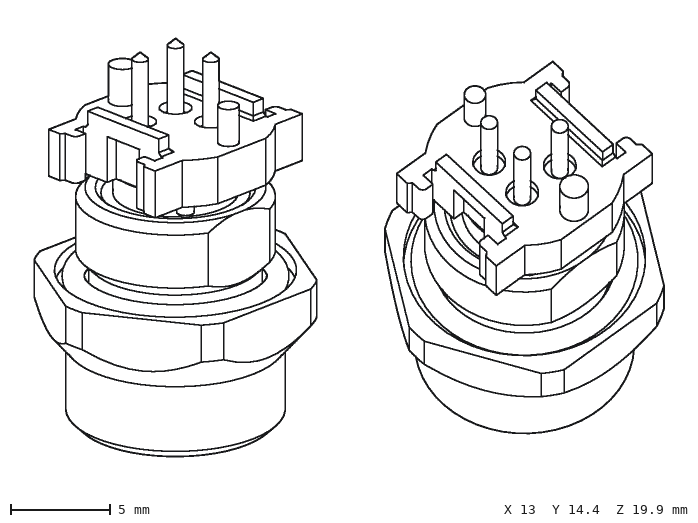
import cadquery as cq
import math

CONE_BOTTOM_Z = 4.0
HEX_CORNER_Z = 6.01
HEX_TOP_Z = 8.02
RING_TOP_Z = 8.25
NUT_BOTTOM_Z = 8.5
NUT_TOP_Z = 12.5
CARRIER_BOTTOM_Z = 13.54
CARRIER_TOP_Z = 16.08
TAB_TOP_Z = 17.0
POST_TOP_Z = 18.08
PIN_TOP_Z = 19.85

BARREL_RADIUS = 5.5
BARREL_CHAMFER = 0.5
HEX_ACROSS_FLATS = 13.0
HEX_CORNER_DIAMETER = 14.4
GROOVE_RADIUS = 6.05
RING_OUTER_RADIUS = 5.68
RING_WIRE_RADIUS = 0.55
RING_SEAT = 0.04

NECK_RADIUS = 4.35
NUT_RADIUS = 5.0
NUT_ACROSS_FLATS = 9.01
NUT_TOP_CHAMFER = 0.48
NUT_BOTTOM_CHAMFER = NUT_RADIUS - NECK_RADIUS
COUNTERSINK_RADIUS = 4.0
COUNTERSINK_DEPTH = 0.28
CORE_RADIUS = 3.14

CARRIER_RADIUS = 5.0
CARRIER_HALF_X = 4.7
EAR_X = 3.77
EAR_Y = 5.2
SLOT_FACE_Y = 3.7
SLOT_X = 2.82
LIP_X = 2.08
LIP_INNER_Y = 4.27
LIP_OUTER_Y = 4.98
LIP_ROUND = 0.28
EAR_BEVEL = 0.15

TAB_WIDTH = 5.05
TAB_INNER_Y = 2.98
TAB_FOOT = 0.18
WINDOW_WIDTH = 2.28
WINDOW_BACK_Y = 3.05
WINDOW_BACK_Z = 15.75
WINDOW_FRONT_Z = 16.02

PIN_PITCH = 2.5
PIN_RADIUS = 0.42
PIN_TIP = 0.38
SOCKET_RADIUS = 0.81
SOCKET_DEPTH = 0.52
POST_X = 3.75
LARGE_POST_RADIUS = 0.71
SMALL_POST_RADIUS = 0.54
PEG_X = 3.3
PEG_Y = 2.58
PEG_RADIUS = 0.44
PEG_LENGTH = 0.81
PEG_CHAMFER = 0.2


def cylinder(radius, bottom, top, x=0, y=0):
    return cq.Workplane("XY", origin=(x, y, bottom)).circle(radius).extrude(top - bottom)


def box(x_range, y_range, z_range):
    """Box spanning the given (low, high) ranges."""
    spans = [high - low for low, high in (x_range, y_range, z_range)]
    corner = (x_range[0], y_range[0], z_range[0])
    return cq.Workplane("XY").box(*spans, centered=False).translate(corner)


def revolve_about_z(profile):
    """Turn a closed (radius, z) profile about the Z axis."""
    return cq.Workplane("XZ").polyline(profile).close().revolve(360, (0, 0), (0, 1))


def make_body():
    """Barrel, coned hexagon with its seal ring groove, and the neck above."""
    corner_radius = HEX_CORNER_DIAMETER / 2
    turned = revolve_about_z([
        (0, 0),
        (BARREL_RADIUS - BARREL_CHAMFER, 0),
        (BARREL_RADIUS, BARREL_CHAMFER),
        (BARREL_RADIUS, CONE_BOTTOM_Z),
        (corner_radius, HEX_CORNER_Z),
        (corner_radius, HEX_TOP_Z),
        (0, HEX_TOP_Z),
    ])
    point_diameter = HEX_ACROSS_FLATS / math.cos(math.radians(30))
    hexagon = (
        cq.Workplane("XY").polygon(6, point_diameter).extrude(HEX_TOP_Z)
        .rotate((0, 0, 0), (0, 0, 1), 30)
    )
    ring_z = RING_TOP_Z - RING_WIRE_RADIUS
    groove_z = ring_z - RING_WIRE_RADIUS + RING_SEAT
    groove = cylinder(GROOVE_RADIUS, groove_z, HEX_TOP_Z)
    neck = cylinder(NECK_RADIUS, groove_z, NUT_BOTTOM_Z)
    ring = (
        cq.Workplane("XZ")
        .moveTo(RING_OUTER_RADIUS - RING_WIRE_RADIUS, ring_z)
        .circle(RING_WIRE_RADIUS)
        .revolve(360, (0, 0), (0, 1))
    )
    return turned.intersect(hexagon).cut(groove).union(neck).union(ring)


def make_nut():
    """Round nut with two flats facing +X and -X and a countersunk top."""
    floor_z = NUT_TOP_Z - COUNTERSINK_DEPTH
    turned = revolve_about_z([
        (0, NUT_BOTTOM_Z),
        (NUT_RADIUS - NUT_BOTTOM_CHAMFER, NUT_BOTTOM_Z),
        (NUT_RADIUS, NUT_BOTTOM_Z + NUT_BOTTOM_CHAMFER),
        (NUT_RADIUS, NUT_TOP_Z - NUT_TOP_CHAMFER),
        (NUT_RADIUS - NUT_TOP_CHAMFER, NUT_TOP_Z),
        (COUNTERSINK_RADIUS, NUT_TOP_Z),
        (COUNTERSINK_RADIUS - COUNTERSINK_DEPTH, floor_z),
        (0, floor_z),
    ])
    half_flats = NUT_ACROSS_FLATS / 2
    between_flats = box((-half_flats, half_flats), (-NUT_RADIUS, NUT_RADIUS), (NUT_BOTTOM_Z, NUT_TOP_Z))
    core = cylinder(CORE_RADIUS, floor_z, CARRIER_BOTTOM_Z)
    return turned.intersect(between_flats).union(core)


def make_slot():
    """Cutter for the undercut slot between the two ears on the -Y side."""
    round_y = LIP_OUTER_Y - LIP_ROUND
    mid_offset = LIP_ROUND * (1 - math.cos(math.radians(45)))
    return (
        cq.Workplane("XY", origin=(0, 0, CARRIER_BOTTOM_Z))
        .moveTo(0, -SLOT_FACE_Y)
        .lineTo(SLOT_X, -SLOT_FACE_Y)
        .lineTo(SLOT_X, -LIP_INNER_Y)
        .lineTo(LIP_X, -LIP_INNER_Y)
        .lineTo(LIP_X, -round_y)
        .threePointArc((LIP_X + mid_offset, -LIP_OUTER_Y + mid_offset), (LIP_X + LIP_ROUND, -LIP_OUTER_Y))
        .lineTo(SLOT_X, -LIP_OUTER_Y)
        .lineTo(SLOT_X + EAR_BEVEL, -EAR_Y)
        .lineTo(0, -EAR_Y)
        .mirrorY()
        .extrude(CARRIER_TOP_Z - CARRIER_BOTTOM_Z)
    )


def make_tab():
    """Tab on the -Y side with a bevelled foot on its three inner sides."""
    half_width = TAB_WIDTH / 2
    tab = box((-half_width, half_width), (-SLOT_FACE_Y, -TAB_INNER_Y), (CARRIER_BOTTOM_Z, TAB_TOP_Z))
    foot_half_width = half_width + TAB_FOOT
    foot = box(
        (-foot_half_width, foot_half_width),
        (-SLOT_FACE_Y, TAB_FOOT - TAB_INNER_Y),
        (CARRIER_BOTTOM_Z, CARRIER_TOP_Z + TAB_FOOT),
    )
    foot = foot.faces(">Z").edges("|Y or >Y").chamfer(TAB_FOOT)
    return tab.union(foot)


def make_window():
    """Cutter for the recess with a sloped lintel in the outer face on the -Y side."""
    return (
        cq.Workplane("YZ")
        .polyline([
            (-SLOT_FACE_Y, CARRIER_BOTTOM_Z),
            (-SLOT_FACE_Y, WINDOW_FRONT_Z),
            (-WINDOW_BACK_Y, WINDOW_BACK_Z),
            (-WINDOW_BACK_Y, CARRIER_BOTTOM_Z),
        ])
        .close()
        .extrude(WINDOW_WIDTH / 2, both=True)
    )


def make_carrier():
    """Carrier plate: a disc clipped in X, four ears, two slots and two tabs."""
    heights = (CARRIER_BOTTOM_Z, CARRIER_TOP_Z)
    disc = cylinder(CARRIER_RADIUS, *heights)
    clip = box((-CARRIER_HALF_X, CARRIER_HALF_X), (-EAR_Y, EAR_Y), heights)
    carrier = disc.intersect(clip).union(box((-EAR_X, EAR_X), (-EAR_Y, EAR_Y), heights))
    for angle in (0, 180):
        slot, tab, window = (
            shape.rotate((0, 0, 0), (0, 0, 1), angle)
            for shape in (make_slot(), make_tab(), make_window())
        )
        carrier = carrier.cut(slot).union(tab).cut(window)
    return carrier


def add_pins(part):
    """Three pointed pins, each standing in a round socket."""
    half_pitch = PIN_PITCH / 2
    socket_floor_z = CARRIER_TOP_Z - SOCKET_DEPTH
    for x, y in ((-half_pitch, half_pitch), (half_pitch, half_pitch), (-half_pitch, -half_pitch)):
        pin = revolve_about_z([
            (0, socket_floor_z),
            (PIN_RADIUS, socket_floor_z),
            (PIN_RADIUS, PIN_TOP_Z - PIN_TIP),
            (0, PIN_TOP_Z),
        ])
        socket = cylinder(SOCKET_RADIUS, socket_floor_z, CARRIER_TOP_Z, x, y)
        part = part.cut(socket).union(pin.translate((x, y, 0)))
    return part


def add_posts_and_pegs(part):
    """Two locating posts on top of the carrier and two pegs under it."""
    for x, radius in ((-POST_X, LARGE_POST_RADIUS), (POST_X, SMALL_POST_RADIUS)):
        part = part.union(cylinder(radius, CARRIER_TOP_Z, POST_TOP_Z, x))
    for side in (-1, 1):
        peg = cylinder(
            PEG_RADIUS, CARRIER_BOTTOM_Z - PEG_LENGTH, CARRIER_BOTTOM_Z, side * PEG_X, -side * PEG_Y
        )
        part = part.union(peg.faces("<Z").chamfer(PEG_CHAMFER))
    return part


result = make_body().union(make_nut()).union(make_carrier())
result = add_pins(result)
result = add_posts_and_pegs(result)